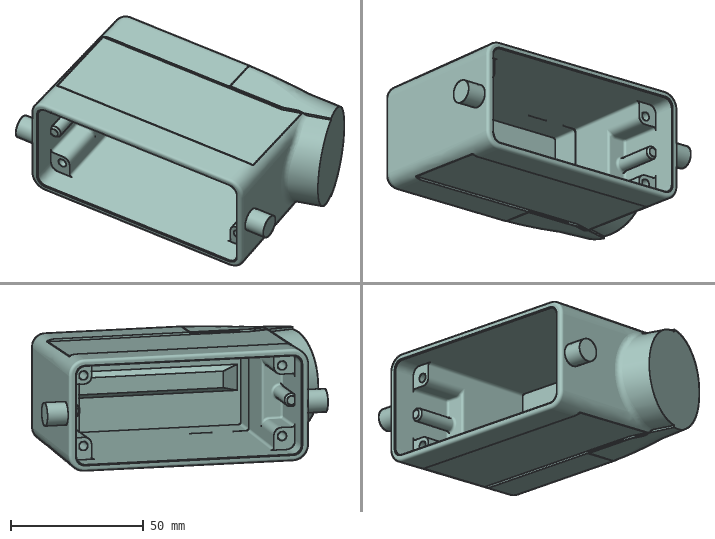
import cadquery as cq
import math

mouth_width = 93.5
mouth_height = 43.0
hood_depth = 62.9
draft = 0.95
corner_radius = 6.2
back_fillet = 3.8
mouth_fillet = 1.1

opening_half_x = 43.9
opening_half_z = 18.9
opening_radius = 3.4
cavity_depth = 58.7
cavity_draft = 0.7
opening_chamfer = 0.3

pin_radius = 4.5
pin_y = 6.3
pin_reach = 54.7

outlet_tilt = math.radians(16)
outlet_radius = 18.8
outlet_length = 14.8
outlet_tip_x = 59.3
outlet_tip_y = 70.1
hump_start_x = 12.5
hump_start_half_z = 20.4
hump_end_half_z = 19.6
hump_end_radius = 18.6
neck_x = 38.0
neck_radius = 12.5
outlet_root_fillet = 2.3

panel_half_x = 43.3
panel_low_y = 13.2
panel_ramp = 0.6
panel_bend_x = 35.9
panel_gap = 0.3
panel_depth = 0.9

end_block_x = 35.6
post_front_y = 9.5
post_inner_z = 10.3
post_round = 2.9
ledge_y = 27.4
ledge_round = 0.9
screw_x = 38.8
screw_z = 13.6
screw_radius = 1.7
screw_depth = 13.7
rib_x = 42.4
rib_radius = 2.5
rib_chamfer = 0.8
inner_fillet = 1.0
near = 0.5

ridge_base_half_z = 5.0
ridge_top_half_z = 3.2
ridge_height = 2.9
ridge_end_x = 34.1
ridge_top_end_x = 27.9

mouth_half_x = mouth_width / 2
mouth_half_z = mouth_height / 2
tilt_slope = math.tan(outlet_tilt)
outlet_x = outlet_tip_x - outlet_radius * math.sin(outlet_tilt)
outlet_y = outlet_tip_y - outlet_radius * math.cos(outlet_tilt)


def axis_y(x):
    """Height of the tilted outlet axis at a given X."""
    return outlet_y + (x - outlet_x) * tilt_slope


hump_foot_y = axis_y(panel_bend_x)


def facing_back(y):
    """Workplane at depth y whose normal points to +Y."""
    return cq.Workplane(cq.Plane(origin=(0, y, 0), xDir=(1, 0, 0), normal=(0, 1, 0)))


def box(x0, x1, y0, y1, z0, z1):
    return cq.Workplane("XY").box(x1 - x0, y1 - y0, z1 - z0, centered=False).translate((x0, y0, z0))


def rounded_prism(half_x, half_z, radius, depth, angle):
    outline = cq.Sketch().rect(2 * half_x, 2 * half_z).vertices().fillet(radius)
    return facing_back(0).placeSketch(outline).extrude(depth, taper=angle)


def hood():
    body = rounded_prism(mouth_half_x, mouth_half_z, corner_radius, hood_depth, draft)
    body = body.faces(">Y").edges().fillet(back_fillet)
    body = body.faces("<Y").edges().fillet(mouth_fillet)
    corner = (
        cq.Workplane("XY")
        .moveTo(hump_start_x, hump_foot_y)
        .lineTo(panel_bend_x, hump_foot_y)
        .lineTo(outlet_tip_x, axis_y(outlet_tip_x))
        .lineTo(outlet_tip_x, hood_depth)
        .lineTo(hump_start_x, hood_depth)
        .close()
        .extrude(mouth_half_z, both=True)
    )
    return body.cut(corner)


def arch(plane, low, top, half_z, radius):
    """Wire with a flat foot, straight sides and two rounded upper corners."""
    bend = radius * math.sqrt(0.5)
    flat = half_z - radius
    spring = top - radius
    return (
        cq.Workplane(plane)
        .moveTo(low, -half_z)
        .lineTo(spring, -half_z)
        .threePointArc((spring + bend, -flat - bend), (top, -flat))
        .lineTo(top, flat)
        .threePointArc((spring + bend, flat + bend), (spring, half_z))
        .lineTo(low, half_z)
        .close()
        .wire()
        .val()
    )


def hump_arch(x):
    """Cross-section of the hump; its top rises along a parabola that ends at the outlet slope."""
    span = neck_x - hump_start_x
    progress = (x - hump_start_x) / span
    top = hood_depth + tilt_slope * span * progress ** 2 / 2
    radius = back_fillet + (neck_radius - back_fillet) * progress ** 2
    narrowing = (x - hump_start_x) / (outlet_x - hump_start_x)
    half_z = hump_start_half_z + (hump_end_half_z - hump_start_half_z) * narrowing
    plane = cq.Plane(origin=(x, 0, 0), xDir=(0, 1, 0), normal=(1, 0, 0))
    return arch(plane, max(hump_foot_y, axis_y(x)), top, half_z, radius)


def outlet():
    mouth_plane = cq.Plane(
        origin=(outlet_x, outlet_y, 0),
        xDir=(-math.sin(outlet_tilt), math.cos(outlet_tilt), 0),
        normal=(math.cos(outlet_tilt), math.sin(outlet_tilt), 0),
    )
    steps = 3
    span = neck_x - hump_start_x
    rise = [hump_arch(hump_start_x + span * i / steps) for i in range(steps + 1)]
    hump = cq.Workplane(cq.Solid.makeLoft(rise))
    mouth_arch = arch(mouth_plane, 0, outlet_radius, hump_end_half_z, hump_end_radius)
    upper_half = cq.Workplane(cq.Solid.makeLoft([hump_arch(neck_x), mouth_arch], True))
    lower_half = (
        cq.Workplane(mouth_plane)
        .moveTo(0, outlet_radius)
        .threePointArc((-outlet_radius, 0), (0, -outlet_radius))
        .close()
        .extrude(-outlet_length)
    )
    return hump.union(upper_half).union(lower_half)


def panel():
    lean = math.radians(draft)

    def outline(height, low_y):
        plane = cq.Plane(
            origin=(0, 0, mouth_half_z - panel_depth + height),
            xDir=(1, 0, 0),
            normal=(0, math.sin(lean), math.cos(lean)),
        )
        return (
            cq.Workplane(plane)
            .moveTo(-panel_half_x, low_y)
            .lineTo(panel_half_x, low_y)
            .lineTo(panel_half_x, axis_y(panel_half_x) - panel_gap)
            .lineTo(panel_bend_x, hump_foot_y - panel_gap)
            .lineTo(-panel_half_x, hump_foot_y - panel_gap)
            .close()
            .wire()
            .val()
        )

    floor = outline(0, panel_low_y)
    outside = outline(2 * panel_depth, panel_low_y - 2 * panel_ramp)
    return cq.Workplane(cq.Solid.makeLoft([floor, outside], True))


def end_block():
    """Two screw posts, the ledge between them and the half-round rib, at the +X end."""
    wall_x = opening_half_x
    wall_z = opening_half_z
    ledge = box(end_block_x, wall_x, ledge_y, cavity_depth, -wall_z, wall_z)
    ledge = ledge.edges("<X and <Y").fillet(ledge_round)
    post = box(end_block_x, wall_x, post_front_y, cavity_depth, post_inner_z, wall_z)
    post = post.edges("<X and <Z").fillet(post_round)
    hole = facing_back(post_front_y).center(screw_x, -screw_z).circle(screw_radius).extrude(screw_depth)
    post = post.cut(hole)
    block = ledge.union(post).union(post.mirror("XY"))
    rib = facing_back(post_front_y).center(rib_x, 0).circle(rib_radius).extrude(ledge_y - post_front_y)
    rib = rib.faces("<Y").chamfer(rib_chamfer)
    return block.union(rib)


def ridge():
    """Bevelled ridge along the cavity floor."""
    crest_y = cavity_depth - ridge_height

    def outline(y, half_z, end_x):
        return (
            facing_back(y)
            .moveTo(-end_block_x, -half_z)
            .lineTo(end_x, -half_z)
            .lineTo(end_x, half_z)
            .lineTo(-end_block_x, half_z)
            .close()
            .wire()
            .val()
        )

    crest = outline(crest_y, ridge_top_half_z, ridge_top_end_x)
    base = outline(cavity_depth, ridge_base_half_z, ridge_end_x)
    return cq.Workplane(cq.Solid.makeLoft([crest, base], True))


def edges_near(corner, depths):
    """Selector for upright edges close to an (X, Z) corner, centred within a range of depths."""
    x, z = corner
    return cq.selectors.BoxSelector(
        (x - near, depths[0] + near, z - near),
        (x + near, depths[1], z + near),
    )


def cavity():
    space = rounded_prism(opening_half_x, opening_half_z, opening_radius, cavity_depth, cavity_draft)
    block = end_block()
    space = space.cut(block).cut(block.mirror("YZ"))

    post_depths = (post_front_y, cavity_depth - inner_fillet)
    for x_side in (-1, 1):
        face_x = x_side * end_block_x
        wall_x = x_side * opening_half_x
        for z_side in (-1, 1):
            wall_z = z_side * opening_half_z
            side_z = z_side * post_inner_z
            face_corner = edges_near((face_x, wall_z), post_depths)
            space = space.edges(face_corner).fillet(inner_fillet)
            wall_corner = edges_near((wall_x, side_z), post_depths)
            space = space.edges(wall_corner).fillet(inner_fillet)

    for x_side in (-1, 1):
        ledge_outline = cq.selectors.BoxSelector(
            (x_side * (end_block_x + post_round), ledge_y - near, -post_inner_z - near),
            (x_side * opening_half_x, ledge_y + near, post_inner_z + near),
        )
        space = space.edges(ledge_outline).fillet(ledge_round)

    flare = rounded_prism(
        opening_half_x + opening_chamfer,
        opening_half_z + opening_chamfer,
        opening_radius + opening_chamfer,
        opening_chamfer,
        45,
    )
    return space.cut(ridge()).union(flare)


shell = hood().union(outlet())
outlet_root = cq.selectors.BoxSelector(
    (panel_half_x, outlet_y - 2 * outlet_radius, -outlet_radius),
    (mouth_half_x, hump_foot_y, outlet_radius),
)
shell = shell.edges(outlet_root).fillet(outlet_root_fillet)
sunk_panel = panel()
shell = shell.cut(sunk_panel).cut(sunk_panel.mirror("XY"))
pin_length = pin_reach - (mouth_half_x + opening_half_x) / 2
for side in (-1, 1):
    pin = cq.Workplane("YZ").center(pin_y, 0).circle(pin_radius).extrude(-side * pin_length)
    shell = shell.union(pin.translate((side * pin_reach, 0, 0)))
result = shell.cut(cavity())